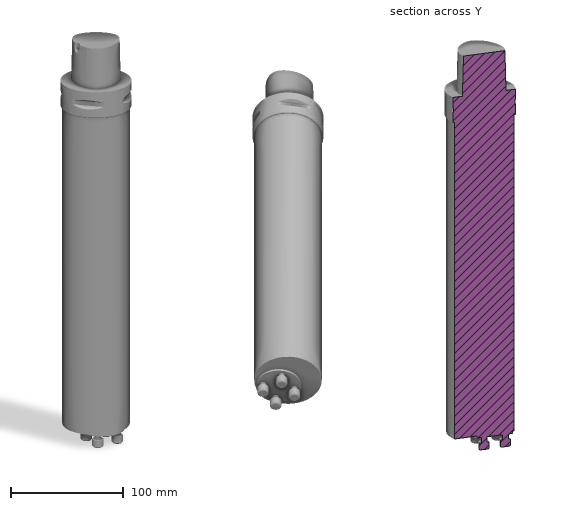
import cadquery as cq
import math


overall_length = 377.0
shank_length = 38.0

shank_base_diameter = 44.0
shank_taper = 1 / 20
lobe_eccentricity = 1.25
lobe_count = 3
apex_direction = 90.0
flank_half_angle = 27.0

keyway_diameter = 9.0
keyway_width = 8.0
keyway_straight_depth = 6.0

flange_diameter = 63.0
flange_height = 24.5
flange_chamfer = 0.6
slot_count = 4
slot_first_direction = 45.0
slot_centre_z = -12.1
slot_depth = 3.5
slot_floor_width = 4.0
slot_mouth_width = 8.6

body_diameter = 60.0

pad_diameter = 40.0
pad_height = 2.0
pad_centre_x = (body_diameter - pad_diameter) / 2
pin_spacing = 20.0
pin_diameter = 6.0
pin_neck_length = 4.5
head_diameter = 10.0
head_height = 7.2
head_chamfer = 1.0

tool_end_z = shank_length - overall_length
head_top_z = tool_end_z + head_height
pad_bottom_z = head_top_z + pin_neck_length
body_bottom_z = pad_bottom_z + pad_height


def lobed_point(mean_diameter, normal_angle):
    """Point of a constant-width lobed curve where its normal has the given angle."""
    angle = math.radians(normal_angle)
    lobe_phase = lobe_count * math.radians(normal_angle - apex_direction)
    support = mean_diameter / 2 + lobe_eccentricity * math.cos(lobe_phase)
    support_slope = -lobe_count * lobe_eccentricity * math.sin(lobe_phase)
    x = support * math.cos(angle) - support_slope * math.sin(angle)
    y = support * math.sin(angle) + support_slope * math.cos(angle)
    return x, y


def lobed_wire(mean_diameter, z):
    """Closed lobed outline, alternating lobe and flank curves."""
    lobe_pitch = 360 / lobe_count
    lobe_half_angle = lobe_pitch / 2 - flank_half_angle
    curve_steps = (-1, -0.5, 0, 0.5, 1)
    edges = []
    for lobe in range(lobe_count):
        apex = apex_direction + lobe * lobe_pitch
        flank = apex + lobe_pitch / 2
        for middle, half_angle in ((apex, lobe_half_angle), (flank, flank_half_angle)):
            points = [
                cq.Vector(*lobed_point(mean_diameter, middle + step * half_angle), z)
                for step in curve_steps
            ]
            tangents = []
            for side in (-1, 1):
                heading = math.radians(middle + side * half_angle + 90)
                tangents.append(cq.Vector(math.cos(heading), math.sin(heading), 0))
            edges.append(cq.Edge.makeSpline(points, tangents=tangents))
    return cq.Wire.assembleEdges(edges)


def make_shank():
    end_diameter = shank_base_diameter - shank_taper * shank_length
    base = lobed_wire(shank_base_diameter, 0)
    end = lobed_wire(end_diameter, shank_length)
    shank = cq.Workplane(obj=cq.Solid.makeLoft([base, end], True))
    flank_y = -(end_diameter / 2 - lobe_eccentricity)
    return shank.cut(make_keyway_cutter(flank_y))


def make_keyway_cutter(flank_y):
    """Drill with a 90 degree point, centred outside the flank so it cuts the keyway width."""
    radius = keyway_diameter / 2
    centre_offset = math.sqrt(radius**2 - (keyway_width / 2) ** 2)
    shoulder_z = shank_length - keyway_straight_depth
    return (
        cq.Workplane("XZ")
        .moveTo(0, shank_length)
        .lineTo(radius, shank_length)
        .lineTo(radius, shoulder_z)
        .lineTo(0, shoulder_z - radius)
        .close()
        .revolve(360, (0, 0), (0, 1))
        .translate((0, flank_y - centre_offset, 0))
    )


def make_flange():
    flange = (
        cq.Workplane("XY")
        .circle(flange_diameter / 2)
        .extrude(-flange_height)
        .faces("<Z")
        .chamfer(flange_chamfer)
    )
    for index in range(slot_count):
        direction = slot_first_direction + index * 360 / slot_count
        flange = flange.cut(make_slot_cutter().rotate((0, 0, 0), (0, 0, 1), direction))
    return flange


def make_slot_cutter():
    """Straight bar of trapezoidal section lying along Y on the +X side of the flange."""
    mouth_x = flange_diameter / 2
    floor_x = mouth_x - slot_depth
    return (
        cq.Workplane("XZ")
        .moveTo(floor_x, slot_centre_z - slot_floor_width / 2)
        .lineTo(mouth_x, slot_centre_z - slot_mouth_width / 2)
        .lineTo(mouth_x, slot_centre_z + slot_mouth_width / 2)
        .lineTo(floor_x, slot_centre_z + slot_floor_width / 2)
        .close()
        .extrude(flange_diameter / 2, both=True)
    )


def make_cylinder(diameter, bottom_z, top_z):
    return cq.Workplane("XY").workplane(offset=bottom_z).circle(diameter / 2).extrude(top_z - bottom_z)


def make_pin():
    neck = make_cylinder(pin_diameter, head_top_z, pad_bottom_z)
    head = make_cylinder(head_diameter, tool_end_z, head_top_z)
    return neck.union(head.faces("<Z").chamfer(head_chamfer))


def make_end_pad():
    pad = make_cylinder(pad_diameter, pad_bottom_z, body_bottom_z)
    for x_side in (-1, 1):
        for y_side in (-1, 1):
            pin_position = (x_side * pin_spacing / 2, y_side * pin_spacing / 2, 0)
            pad = pad.union(make_pin().translate(pin_position))
    return pad.translate((pad_centre_x, 0, 0))


body = make_cylinder(body_diameter, body_bottom_z, -flange_height)
result = body.union(make_flange()).union(make_shank()).union(make_end_pad())